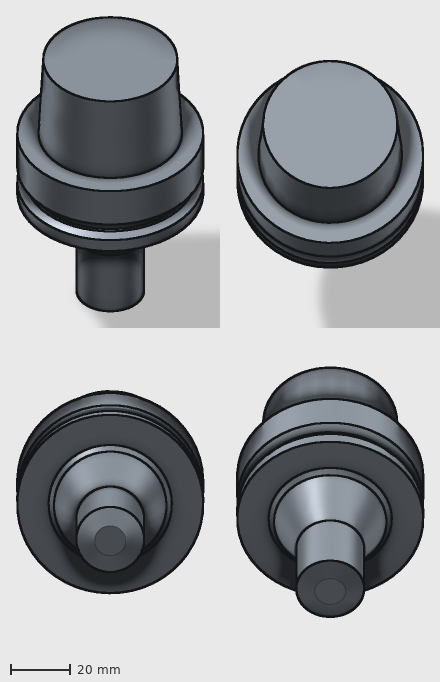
import cadquery as cq
import math

shank_length = 32.0
taper_per_side = 0.05
gauge_diameter = 48.0
gauge_height = 6.3

flange_diameter = 63.0
flange_thickness = 26.0
groove_floor_diameter = 55.0
groove_center_depth = 17.87
groove_floor_width = 3.6
groove_flank_height = 1.6
groove_flank_angle = 30.0

shoulder_height = 1.8
neck_half_angle = 25.0
neck_end_depth = 44.0

nose_diameter = 23.0
nose_end_depth = 70.0
tip_diameter = 10.5
tip_slope_angle = 15.0

gauge_radius = gauge_diameter / 2
shank_base_radius = gauge_radius + gauge_height * taper_per_side
shank_top_radius = shank_base_radius - shank_length * taper_per_side
flange_radius = flange_diameter / 2
groove_floor_radius = groove_floor_diameter / 2
groove_flank_radius = flange_radius - groove_flank_height / math.tan(math.radians(groove_flank_angle))
nose_radius = nose_diameter / 2
tip_radius = tip_diameter / 2

groove_floor_top = -groove_center_depth + groove_floor_width / 2
groove_floor_bottom = -groove_center_depth - groove_floor_width / 2
shoulder_end = -flange_thickness - shoulder_height
tip_start = -nose_end_depth + (nose_radius - tip_radius) * math.tan(math.radians(tip_slope_angle))

cone_height = neck_end_depth - flange_thickness - shoulder_height
cone_top_radius = nose_radius + cone_height * math.tan(math.radians(neck_half_angle))
shoulder_radius = cone_top_radius + shoulder_height


def revolve_profile(points):
    """Revolve a closed (radius, height) outline about the Z axis."""
    return cq.Workplane("XZ").polyline(points).close().revolve(360, (0, 0, 0), (0, 1, 0))


def make_body():
    """Shank, plain flange, neck and nose as one turned body."""
    return revolve_profile([
        (0, shank_length),
        (shank_top_radius, shank_length),
        (shank_base_radius, 0),
        (flange_radius, 0),
        (flange_radius, -flange_thickness),
        (shoulder_radius, -flange_thickness),
        (cone_top_radius, shoulder_end),
        (nose_radius, -neck_end_depth),
        (nose_radius, tip_start),
        (tip_radius, -nose_end_depth),
        (0, -nose_end_depth),
    ])


def make_groove():
    """Ring removed from the flange rim: flat floor, square walls and sloped outer flanks."""
    return revolve_profile([
        (groove_floor_radius, groove_floor_top),
        (groove_flank_radius, groove_floor_top),
        (flange_radius, groove_floor_top + groove_flank_height),
        (flange_radius, groove_floor_bottom - groove_flank_height),
        (groove_flank_radius, groove_floor_bottom),
        (groove_floor_radius, groove_floor_bottom),
    ])


result = make_body().cut(make_groove())